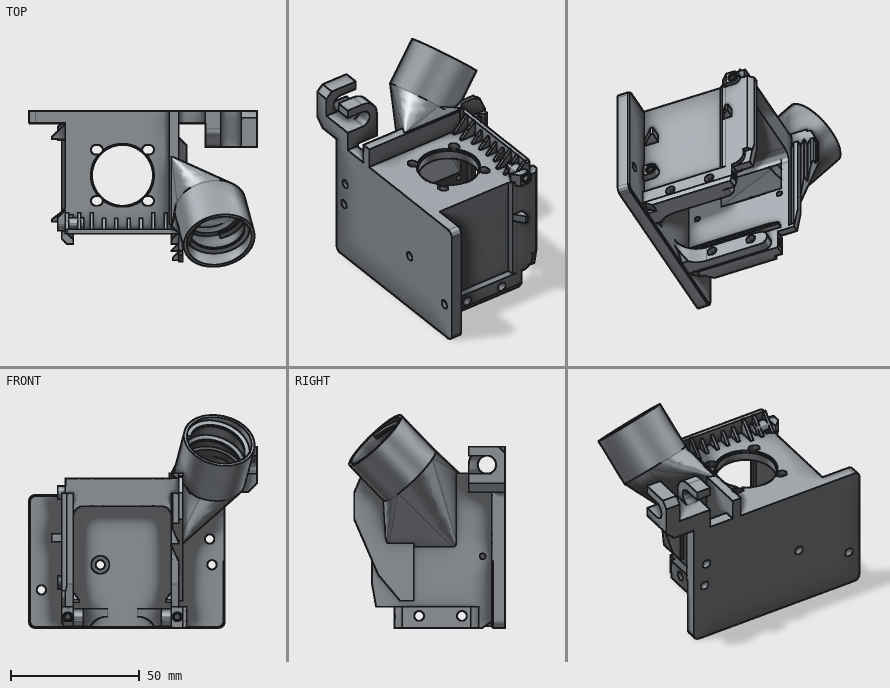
import cadquery as cq
import math


PLATE_WIDTH = 75.9
PLATE_HEIGHT = 51.6
PLATE_THICK = 5.05
PLATE_CORNER = 2.5
PLATE_CHAMFER = 0.5
SCREW_DIA = 3.5
SCREW_POSITIONS = [(4.9, 14.8), (70.1, 34.5), (71.0, 24.5), (27.7, 24.5)]
SINK_DIA = 7.0
SINK_DEPTH = 1.8

LEFT_OUTER = 14.2
LEFT_INNER = 17.3
RIGHT_INNER = 55.2
RIGHT_OUTER = 58.15
BOX_BOTTOM = 8.2
CAVITY_TOP = 47.3
CAVITY_CORNER = 4.0
LIP_BACK = -45.9
LIP_FRONT = -47.7
LIP_TOP = 58.0
LIP_CORNER = 0.7
FLANGE_FRONT = -51.6
FLANGE_TOP = 52.2
FLANGE_TAPER_Z = 17.2
FLANGE_TOE = -50.0
FLANGE_CHAMFER = 2.0
RIM_X = 12.7
RIM_STEP = LEFT_OUTER - RIM_X
RIM_BACK = -38.85
RIM_BEVEL = 1.3
RIM_BEVEL_RISE = 0.3
TOE_RECESS_TOP = 14.4
TOE_ARC_Y = -43.4
TOE_ARC_RADIUS = 4.6
SLOT_DEPTH = 2.2
SLOT_BOTTOM = 10.0

RIDGE_X = 54.3
RIDGE_TOP = 60.0
RIDGE_CHAMFER_Y = -43.5

FAN_X = 36.3
FAN_Y = -25.0
FAN_DIA = 23.5
FAN_RIM_DIA = 24.6
FAN_RIM_DEPTH = 0.9
FAN_SLOT_PITCH = 19.8
FAN_SLOT_LENGTH = 4.5
FAN_SLOT_WIDTH = 3.6

GUSSET_COUNT = 9
GUSSET_FIRST_X = 14.8
GUSSET_PITCH = 4.8
GUSSET_THICK = 1.2
GUSSET_OUTER_LEG = 6.55
GUSSET_INNER_LEG = 4.4
INNER_GUSSETS = range(3, 7)

RAIL_FRONT = -42.9
RAIL_BOTTOM = 0.6
RAIL_CHAMFER_Z = 2.6
RAIL_NOSE = 3.8
RAIL_TOE = 0.9
PAD_X = 61.15
PAD_BACK = -10.3
PAD_FRONT = -39.8
RIGHT_RAIL_X = 59.6
CROSS_HOLE_DIA = 3.7
CROSS_HOLE_Z = 4.7
CROSS_HOLES_Y = [-16.7, -33.3]
END_HOLE_DIA = 2.5
END_SINK_DIA = 3.5
END_SINK_DEPTH = 0.4
END_HOLE_DEPTH = 7.1
END_HOLE_Z = 4.3
END_HOLES_X = [15.05, 57.5]
ARM_THICK = 3.9
ARM_TOP = 7.5
ARM_FRONT = -40.2
ARM_SLOPE_Y = -32.3
ARM_NOSE_TOP = 6.5
ARM_ROUND = 2.8
ARM_ROOT_RADIUS = 9.2
ARM_RELIEF_RADIUS = 7.5
ARM_RELIEF_Z = -3.1

LEDGE_DEPTH = 2.2
LEDGE_BOTTOM = 10.0
LEDGE_EDGE = 11.0
LEDGE_TOP = 13.8
LEDGE_TAPER_Y = -39.6
LEDGE_FRONT = -44.25

BOSS_DIA = 5.1
BOSS_X = 11.15
BOSS_RUN = 2.8
BOSS_HOLE_DEPTH = 5.3
UPPER_BOSS = (-43.9, 52.6, 21.2)
LOWER_BOSS = (-8.8, 17.6, LEFT_OUTER)
CLIP_X = 8.9
CLIP_Z = (33.45, 36.6)
CLIP_TIP = 1.0
CLIPS_Y = [(-5.05, -11.0), (-38.0, -43.0)]
RIGHT_HOLES_Y = [-8.7, -43.7]
RIGHT_HOLES_Z = 27.8
RIGHT_HOLE_DIA = 2.3

FIN_X = 59.7
FIN_OUTLINE = [
    (-35.4, RIDGE_TOP), (-54, RIDGE_TOP), (-54.2, 59.1), (-55.9, 58.5), (-58.5, 52.5),
    (-58.5, 42.1), (-49.1, 20.6), (-40.7, 10.6), (-35.4, 10.6),
]
TOOTH_TIPS = [(RIGHT_INNER, -54.3, 0.2), (55.8, -57.9, 1.1)]

SOCKET_TURN = math.radians(15)
SOCKET_TILT = math.radians(45)
SOCKET_MOUTH = (73.8, -50.3, 72.75)
SOCKET_DIA = 28.0
SOCKET_LENGTH = 19.3
SOCKET_BORE = 25.5
SOCKET_FLOOR_BORE = 22.0
SOCKET_FLOOR = 3.2
THREAD_BORE = 22.0
THREAD_PITCH = 8.0
THREAD_TURNS = 1.7
THREAD_BASE = 2.5
THREAD_CREST = 0.9
THREAD_ROOT = 0.35
THREAD_END_DEPTH = 1.3
THREAD_END_ANGLE = 165
DUCT_BACK = -17.5
DUCT_FRONT = -46.0
DUCT_BOTTOM = 28.85
DUCT_WALL = 1.4
DUCT_CORNER = 0.3
DUCT_SIDE_ANGLES = [150, 241, 314, 41]
DUCT_SIDE_SPREAD = 1.0

HINGE_LEFT = 68.4
HINGE_RIGHT = 88.5
HINGE_FRONT = -14.1
HINGE_BOTTOM = 52.7
HINGE_FLOOR = 59.8
HINGE_TOP = 70.4
HINGE_CHAMFER = 3.5
HINGE_BORE = 7.0
HINGE_PIN = (-7.0, 63.3)
HINGE_LEFT_HOOK = 6.0
HINGE_RIGHT_HOOK = 6.1
HINGE_ROUND = 7.1
HINGE_BACK_CHAMFER = 2.6


def block(x_range, y_range, z_range):
    corner = cq.Vector(min(x_range), min(y_range), min(z_range))
    size = [max(r) - min(r) for r in (x_range, y_range, z_range)]
    return cq.Workplane(obj=cq.Solid.makeBox(*size, corner))


def prism_x(points, x_start, x_end):
    """Outline of (y, z) points swept along X."""
    return cq.Workplane("YZ", origin=(x_start, 0, 0)).polyline(points).close().extrude(x_end - x_start)


def prism_y(points, y_start, y_end):
    """Outline of (x, z) points swept along Y."""
    return cq.Workplane("XZ", origin=(0, y_start, 0)).polyline(points).close().extrude(y_start - y_end)


def prism_z(points, z_start, z_end):
    """Outline of (x, y) points swept along Z."""
    return cq.Workplane("XY", origin=(0, 0, z_start)).polyline(points).close().extrude(z_end - z_start)


def rod(diameter, start, direction, length):
    return cq.Workplane(obj=cq.Solid.makeCylinder(diameter / 2, length, cq.Vector(*start), cq.Vector(*direction)))


def mirrored(shape):
    """Copy of a shape on the opposite inner side of the box."""
    middle = (LEFT_INNER + RIGHT_INNER) / 2
    return shape.mirror("YZ", (middle, 0, 0))


def back_plate():
    plate = block((0, PLATE_WIDTH), (-PLATE_THICK, 0), (0, PLATE_HEIGHT))
    plate = plate.edges("|Y").fillet(PLATE_CORNER)
    return plate.faces("<Y").edges().chamfer(PLATE_CHAMFER)


def box_shell():
    shell = block((LEFT_OUTER, RIGHT_OUTER), (0, LIP_FRONT), (BOX_BOTTOM, PLATE_HEIGHT))
    cavity = block((LEFT_INNER, RIGHT_INNER), (-PLATE_THICK, LIP_FRONT), (0, CAVITY_TOP))
    cavity = cavity.edges("|Y and >Z").fillet(CAVITY_CORNER)
    lip = block((LEFT_OUTER, RIGHT_OUTER), (LIP_BACK, LIP_FRONT), (CAVITY_TOP, LIP_TOP))
    lip = lip.edges("|Y and <X and >Z").chamfer(LIP_CORNER)
    ridge_outline = [
        (RIDGE_X, 0), (RIGHT_OUTER, 0), (RIGHT_OUTER, LIP_FRONT),
        (RIGHT_OUTER, RIDGE_CHAMFER_Y - (RIGHT_OUTER - RIDGE_X)), (RIDGE_X, RIDGE_CHAMFER_Y),
    ]
    ridge = prism_z(ridge_outline, CAVITY_TOP, RIDGE_TOP)
    return shell.cut(cavity).union(lip).union(ridge)


def flange_outline(back):
    return [
        (back, BOX_BOTTOM), (back, FLANGE_TOP), (FLANGE_FRONT, FLANGE_TOP),
        (FLANGE_FRONT, FLANGE_TAPER_Z), (FLANGE_TOE, BOX_BOTTOM),
    ]


def left_flange():
    bevel_end = RIM_BACK - RIM_BEVEL
    flange = prism_x(flange_outline(bevel_end), RIM_X, LEFT_INNER)
    outer_corner = [
        (RIM_X, FLANGE_FRONT + FLANGE_CHAMFER), (RIM_X, FLANGE_FRONT),
        (RIM_X + FLANGE_CHAMFER, FLANGE_FRONT),
    ]
    flange = flange.cut(prism_z(outer_corner, TOE_RECESS_TOP, FLANGE_TOP))
    toe = block((RIM_X, LEFT_OUTER), (TOE_ARC_Y, FLANGE_FRONT), (BOX_BOTTOM, TOE_RECESS_TOP))
    arc_z = BOX_BOTTOM + TOE_ARC_RADIUS
    toe = toe.cut(rod(2 * TOE_ARC_RADIUS, (RIM_X, TOE_ARC_Y, arc_z), (1, 0, 0), RIM_STEP))
    back_slope = [
        (LEFT_OUTER, RIM_BACK + RIM_STEP), (LEFT_OUTER, bevel_end), (RIM_X, bevel_end),
        (RIM_X + RIM_BEVEL_RISE, RIM_BACK),
    ]
    return flange.cut(toe).union(prism_z(back_slope, BOX_BOTTOM, PLATE_HEIGHT))


def right_flange():
    return prism_x(flange_outline(LIP_FRONT), RIGHT_INNER, RIGHT_OUTER)


def panel_slot():
    """Three-cornered groove behind the left flange."""
    outline = [
        (LEFT_INNER, LIP_FRONT), (LEFT_INNER - SLOT_DEPTH, LIP_FRONT),
        (LEFT_INNER, LIP_FRONT - SLOT_DEPTH),
    ]
    return prism_z(outline, SLOT_BOTTOM, FLANGE_TOP)


def fan_opening():
    opening = rod(FAN_DIA, (FAN_X, FAN_Y, CAVITY_TOP), (0, 0, 1), PLATE_HEIGHT - CAVITY_TOP)
    rim = rod(FAN_RIM_DIA, (FAN_X, FAN_Y, PLATE_HEIGHT - FAN_RIM_DEPTH), (0, 0, 1), FAN_RIM_DEPTH)
    slots = (
        cq.Workplane("XY", origin=(FAN_X, FAN_Y, CAVITY_TOP))
        .rect(FAN_SLOT_PITCH, FAN_SLOT_PITCH, forConstruction=True)
        .vertices()
        .slot2D(FAN_SLOT_LENGTH, FAN_SLOT_WIDTH)
        .extrude(PLATE_HEIGHT - CAVITY_TOP)
    )
    return opening.union(rim).union(slots)


def gusset(index):
    leg = GUSSET_INNER_LEG if index in INNER_GUSSETS else GUSSET_OUTER_LEG
    outline = [
        (LIP_BACK, PLATE_HEIGHT), (LIP_BACK + leg, PLATE_HEIGHT), (LIP_BACK, PLATE_HEIGHT + leg),
    ]
    start = GUSSET_FIRST_X + index * GUSSET_PITCH - GUSSET_THICK / 2
    return prism_x(outline, start, start + GUSSET_THICK)


def left_rail():
    outline = [
        (RIM_X, RAIL_CHAMFER_Z), (RIM_X + RIM_STEP / 2, RAIL_BOTTOM), (LEFT_INNER, RAIL_BOTTOM),
        (LEFT_INNER, BOX_BOTTOM + RIM_STEP), (LEFT_OUTER, BOX_BOTTOM + RIM_STEP), (RIM_X, BOX_BOTTOM),
    ]
    back_corner = [
        (-PLATE_THICK, RAIL_CHAMFER_Z), (-PLATE_THICK, RAIL_BOTTOM),
        (-PLATE_THICK - RAIL_NOSE, RAIL_BOTTOM),
    ]
    front_corner = [
        (RAIL_FRONT, RAIL_CHAMFER_Z), (RAIL_FRONT, RAIL_BOTTOM), (RAIL_FRONT + RAIL_TOE, RAIL_BOTTOM),
    ]
    rail = prism_y(outline, -PLATE_THICK, RAIL_FRONT)
    rail = rail.cut(prism_x(front_corner, RIM_X, LEFT_INNER))
    return rail.cut(prism_x(back_corner, RIM_X, LEFT_INNER))


def right_rail():
    outline = [
        (RIGHT_INNER, -PLATE_THICK), (RIGHT_OUTER, -PLATE_THICK), (RIGHT_OUTER, PAD_BACK),
        (PAD_X, PAD_BACK - (PAD_X - RIGHT_OUTER)), (PAD_X, PAD_FRONT), (RIGHT_RAIL_X, PAD_FRONT),
        (RIGHT_RAIL_X, RAIL_FRONT), (RIGHT_INNER, RAIL_FRONT),
    ]
    back_corner = [(-PLATE_THICK, RAIL_CHAMFER_Z), (-PLATE_THICK, 0), (-PLATE_THICK - RAIL_NOSE, 0)]
    rail = prism_z(outline, 0, BOX_BOTTOM)
    return rail.cut(prism_x(back_corner, RIGHT_INNER, PAD_X))


def hinge_arm():
    """Round-ended arm beside the left rail, flared where it meets the back plate."""
    face_x = LEFT_INNER + ARM_THICK
    side = [
        (-PLATE_THICK, RAIL_BOTTOM), (ARM_FRONT, RAIL_BOTTOM), (ARM_FRONT, ARM_NOSE_TOP),
        (ARM_SLOPE_Y, ARM_TOP), (-PLATE_THICK, ARM_TOP),
    ]
    arm = prism_x(side, LEFT_INNER, face_x)
    arm = arm.edges("|X and <Y").fillet(ARM_ROUND)
    root_x = face_x + ARM_ROOT_RADIUS
    root_y = -PLATE_THICK - ARM_ROOT_RADIUS
    heights = (RAIL_BOTTOM, ARM_TOP)
    root = block((face_x, root_x), (-PLATE_THICK, root_y), heights)
    root = root.cut(rod(2 * ARM_ROOT_RADIUS, (root_x, root_y, RAIL_BOTTOM), (0, 0, 1), ARM_TOP))
    relief = rod(2 * ARM_RELIEF_RADIUS, (root_x, root_y, ARM_RELIEF_Z), (0, 1, 0), ARM_ROOT_RADIUS)
    return arm.union(root.cut(relief))


def inner_ledge():
    edge_x = LEFT_INNER + LEDGE_DEPTH
    outline = [
        (LEFT_INNER, LEDGE_BOTTOM), (edge_x, LEDGE_BOTTOM), (edge_x, LEDGE_EDGE), (LEFT_INNER, LEDGE_TOP),
    ]
    nose = [(LEDGE_TAPER_Y, LEDGE_TOP), (LEDGE_FRONT, LEDGE_TOP), (LEDGE_FRONT, LEDGE_EDGE)]
    return prism_y(outline, -PLATE_THICK, LEDGE_FRONT).cut(prism_x(nose, LEFT_INNER, edge_x))


def boss(y, z, x_end):
    """Screw boss on the left wall with a sloped support behind it."""
    radius = BOSS_DIA / 2
    support = [
        (LEFT_OUTER, y + radius + BOSS_RUN), (BOSS_X, y + radius), (BOSS_X, y), (LEFT_OUTER, y),
    ]
    body = rod(BOSS_DIA, (BOSS_X, y, z), (1, 0, 0), x_end - BOSS_X)
    return body.union(prism_z(support, z - radius, z + radius))


def sunk_hole(start, direction, depth):
    hole = rod(END_HOLE_DIA, start, direction, depth)
    return hole.union(rod(END_SINK_DIA, start, direction, END_SINK_DEPTH))


def clip(back, front):
    outline = [(LEFT_OUTER, back), (CLIP_X, front + CLIP_TIP), (CLIP_X, front), (LEFT_OUTER, front)]
    return prism_z(outline, *CLIP_Z)


def fin():
    plate = prism_x(FIN_OUTLINE, RIGHT_OUTER, FIN_X)
    profile = prism_x(FIN_OUTLINE, RIGHT_INNER, FIN_X)
    for tip_x, front, flat in TOOTH_TIPS:
        slope_back = front + flat + RIGHT_OUTER - tip_x
        outline = [
            (RIGHT_OUTER, slope_back), (tip_x, front + flat), (tip_x, front), (RIGHT_OUTER, front),
        ]
        plate = plate.union(prism_z(outline, BOX_BOTTOM, FLANGE_TOP).intersect(profile))
    return plate


ACROSS = cq.Vector(math.cos(SOCKET_TURN), math.sin(SOCKET_TURN), 0)
OUTWARD = cq.Vector(
    math.sin(SOCKET_TURN) * math.cos(SOCKET_TILT),
    -math.cos(SOCKET_TURN) * math.cos(SOCKET_TILT),
    math.sin(SOCKET_TILT),
)
FACE_UP = OUTWARD.cross(ACROSS)
SOCKET_BASE = cq.Vector(*SOCKET_MOUTH) - OUTWARD * SOCKET_LENGTH


def socket_tube():
    """Stepped tube with an inner thread, built upright and then moved into place."""
    bore = SOCKET_BORE / 2
    floor = SOCKET_FLOOR_BORE / 2
    outline = [
        (SOCKET_DIA / 2, 0), (SOCKET_DIA / 2, SOCKET_LENGTH), (bore, SOCKET_LENGTH),
        (bore, SOCKET_FLOOR), (floor, SOCKET_FLOOR), (floor, 0),
    ]
    tube = cq.Workplane("XZ").polyline(outline).close().revolve(360, (0, 0, 0), (0, 1, 0))
    helix = cq.Wire.makeHelix(THREAD_PITCH, THREAD_TURNS * THREAD_PITCH, bore)
    ridge = [
        (bore + THREAD_ROOT, -THREAD_BASE / 2), (bore + THREAD_ROOT, THREAD_BASE / 2),
        (THREAD_BORE / 2, THREAD_CREST / 2), (THREAD_BORE / 2, -THREAD_CREST / 2),
    ]
    thread = cq.Workplane("XZ").polyline(ridge).close().sweep(cq.Workplane(obj=helix), isFrenet=True)
    start_z = SOCKET_LENGTH - THREAD_END_DEPTH - THREAD_TURNS * THREAD_PITCH
    start_angle = THREAD_END_ANGLE - 360 * THREAD_TURNS
    thread = thread.rotate((0, 0, 0), (0, 0, 1), start_angle).translate((0, 0, start_z))
    placement = cq.Plane(SOCKET_BASE, ACROSS, OUTWARD).location
    return cq.Workplane(obj=tube.union(thread).val().moved(placement))


def duct_body(y_range, z_range, diameter):
    """Tapered body from a rectangle in the right wall to the base circle of the socket.

    Each rounded corner of the rectangle spreads into a wide arc of the circle, and each straight side
    narrows to a very short one, so the sides are nearly flat.
    """
    y_back, y_front = y_range
    z_bottom, z_top = z_range
    corners = [(y_back, z_top), (y_front, z_top), (y_front, z_bottom), (y_back, z_bottom)]

    def at_corner(corner, angle):
        turn = math.radians(angle)
        y_center = corner[0] - math.copysign(DUCT_CORNER, corner[0] - (y_back + y_front) / 2)
        z_center = corner[1] - math.copysign(DUCT_CORNER, corner[1] - (z_bottom + z_top) / 2)
        return cq.Vector(
            RIGHT_INNER, y_center + DUCT_CORNER * math.cos(turn), z_center + DUCT_CORNER * math.sin(turn)
        )

    def on_circle(angle):
        turn = math.radians(angle)
        return SOCKET_BASE + (ACROSS * math.cos(turn) + FACE_UP * math.sin(turn)) * (diameter / 2)

    mouth = []
    base = []
    for index, corner in enumerate(corners):
        first = 90 * index
        mouth_arc = [at_corner(corner, first + turn) for turn in (0, 45, 90)]
        next_start = at_corner(corners[(index + 1) % 4], first + 90)
        mouth += [cq.Edge.makeThreePointArc(*mouth_arc), cq.Edge.makeLine(mouth_arc[2], next_start)]
        side = DUCT_SIDE_ANGLES[index]
        arc_start = DUCT_SIDE_ANGLES[index - 1] + DUCT_SIDE_SPREAD
        arc_turn = (side - DUCT_SIDE_SPREAD - arc_start) % 360
        wide = [on_circle(arc_start + arc_turn * share) for share in (0, 0.5, 1)]
        short = [on_circle(side + turn) for turn in (-DUCT_SIDE_SPREAD, 0, DUCT_SIDE_SPREAD)]
        base += [cq.Edge.makeThreePointArc(*wide), cq.Edge.makeThreePointArc(*short)]
    faces = [cq.Face.makeRuledSurface(near, far) for near, far in zip(mouth, base)]
    faces += [cq.Face.makeFromWires(cq.Wire.assembleEdges(edges)) for edges in (mouth, base)]
    return cq.Workplane(obj=cq.Solid.makeSolid(cq.Shell.makeShell(faces)))


def hinge():
    pin_y, pin_z = HINGE_PIN
    width = (HINGE_LEFT, HINGE_RIGHT)
    base = block(width, (0, HINGE_FRONT), (HINGE_BOTTOM, HINGE_FLOOR))
    base = base.edges("|Y and >X and <Z").chamfer(HINGE_CHAMFER)
    base = base.union(block((HINGE_LEFT, PLATE_WIDTH), (0, -PLATE_THICK), (PLATE_HEIGHT / 2, HINGE_FLOOR)))

    def hook(x_start, x_end, opening_y):
        body = block((x_start, x_end), (0, HINGE_FRONT), (HINGE_FLOOR, HINGE_TOP))
        gap_z = (pin_z - HINGE_BORE / 2, pin_z + HINGE_BORE / 2)
        gap = block((x_start, x_end), (pin_y, opening_y), gap_z)
        return body, gap.union(rod(HINGE_BORE, (x_start, pin_y, pin_z), (1, 0, 0), x_end - x_start))

    left, left_gap = hook(HINGE_LEFT, HINGE_LEFT + HINGE_LEFT_HOOK, 0)
    left = left.edges("|X and <Y and >Z").fillet(HINGE_ROUND)
    right, right_gap = hook(HINGE_RIGHT - HINGE_RIGHT_HOOK, HINGE_RIGHT, HINGE_FRONT)
    right = right.edges("|X and >Y and >Z").chamfer(HINGE_BACK_CHAMFER)
    return base.union(left.cut(left_gap)).union(right.cut(right_gap))


part = back_plate().union(box_shell()).union(left_flange()).union(right_flange())
part = part.union(left_rail()).union(right_rail()).union(fin()).union(hinge())
part = part.cut(panel_slot()).cut(mirrored(panel_slot()))
for shape in (hinge_arm(), inner_ledge()):
    part = part.union(shape).union(mirrored(shape))
for gusset_index in range(GUSSET_COUNT):
    part = part.union(gusset(gusset_index))
for clip_back, clip_front in CLIPS_Y:
    part = part.union(clip(clip_back, clip_front))

duct = duct_body((DUCT_BACK, DUCT_FRONT), (DUCT_BOTTOM, RIDGE_TOP), SOCKET_DIA)
passage = duct_body(
    (DUCT_BACK - DUCT_WALL, DUCT_FRONT + DUCT_WALL), (DUCT_BOTTOM + DUCT_WALL, CAVITY_TOP), SOCKET_FLOOR_BORE
)
part = part.union(duct, clean=False).cut(passage, clean=False)
part = part.union(socket_tube(), clean=False)

part = part.cut(fan_opening())
for boss_y, boss_z, boss_end in (UPPER_BOSS, LOWER_BOSS):
    part = part.union(boss(boss_y, boss_z, boss_end))
    part = part.cut(sunk_hole((BOSS_X, boss_y, boss_z), (1, 0, 0), BOSS_HOLE_DEPTH))
for screw_x, screw_z in SCREW_POSITIONS:
    part = part.cut(rod(SCREW_DIA, (screw_x, -PLATE_THICK, screw_z), (0, 1, 0), PLATE_THICK))
sink_x, sink_z = SCREW_POSITIONS[-1]
part = part.cut(rod(SINK_DIA, (sink_x, -PLATE_THICK, sink_z), (0, 1, 0), SINK_DEPTH))
for hole_y in CROSS_HOLES_Y:
    part = part.cut(rod(CROSS_HOLE_DIA, (0, hole_y, CROSS_HOLE_Z), (1, 0, 0), HINGE_RIGHT))
for hole_x in END_HOLES_X:
    part = part.cut(sunk_hole((hole_x, RAIL_FRONT, END_HOLE_Z), (0, 1, 0), END_HOLE_DEPTH))
for hole_y in RIGHT_HOLES_Y:
    wall = RIGHT_OUTER - RIGHT_INNER
    part = part.cut(rod(RIGHT_HOLE_DIA, (RIGHT_INNER, hole_y, RIGHT_HOLES_Z), (1, 0, 0), wall))

result = part